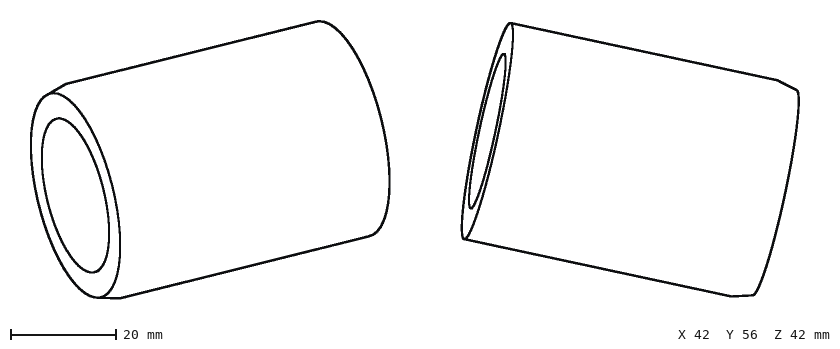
import cadquery as cq
import math

outer_diameter = 42.0
bore_diameter = 30.0
length = 56.0
lead_in_length = 4.0
lead_in_angle = 15.0

outer_radius = outer_diameter / 2
bore_radius = bore_diameter / 2
lead_in_depth = lead_in_length * math.tan(math.radians(lead_in_angle))


def bushing():
    """Revolve the wall section, tapered at the -Y end, around the Y axis."""
    wall_section = (
        cq.Workplane("XY")
        .moveTo(bore_radius, 0)
        .lineTo(outer_radius - lead_in_depth, 0)
        .lineTo(outer_radius, lead_in_length)
        .lineTo(outer_radius, length)
        .lineTo(bore_radius, length)
        .close()
    )
    return wall_section.revolve(360, (0, 0, 0), (0, 1, 0))


result = bushing()